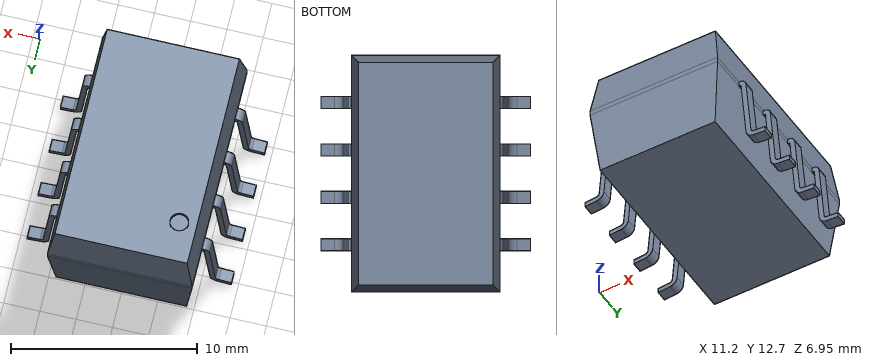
import cadquery as cq
import math

body_width = 7.98
body_length = 12.7
overall_height = 6.95
standoff = 0.17
band_top = 4.5
top_inset = 0.34
bottom_inset = 0.4

dimple_diameter = 1.0
dimple_depth = 0.2
dimple_x = -2.68

lead_span = 11.25
lead_thickness = 0.3
lead_width = 0.66
lead_pitch = 2.54
leads_per_side = 4
lead_tilt = math.radians(5)
shoulder_length = 0.05
shoulder_inner_radius = 0.09
ankle_inner_radius = 0.19

band_bottom = band_top - lead_thickness
shoulder_outer_radius = shoulder_inner_radius + lead_thickness
ankle_outer_radius = ankle_inner_radius + lead_thickness
lead_rows = [(i - (leads_per_side - 1) / 2) * lead_pitch for i in range(leads_per_side)]


def tapered_block(start_z, end_z, inset):
    """Block with the band's outline at start_z, shrinking by inset per side at end_z."""
    return (
        cq.Workplane("XY", origin=(0, 0, start_z))
        .rect(body_width, body_length)
        .workplane(offset=end_z - start_z)
        .rect(body_width - 2 * inset, body_length - 2 * inset)
        .loft(ruled=True)
    )


def make_housing():
    band = (
        cq.Workplane("XY", origin=(0, 0, band_bottom))
        .rect(body_width, body_length)
        .extrude(lead_thickness)
    )
    upper = tapered_block(band_top, overall_height, top_inset)
    lower = tapered_block(band_bottom, standoff, bottom_inset)
    dimple = (
        cq.Workplane("XY", origin=(dimple_x, lead_rows[-1], overall_height))
        .circle(dimple_diameter / 2)
        .extrude(-dimple_depth)
    )
    return band.union(upper).union(lower).cut(dimple)


def make_lead():
    """One lead on the +X side, centred on Y = 0, its root against the band."""
    root_x = body_width / 2
    tip_x = lead_span / 2
    slope = math.tan(lead_tilt)
    slanted_thickness = lead_thickness / math.cos(lead_tilt)

    half_turn = math.tan((math.pi / 2 - lead_tilt) / 2)
    shoulder_outer = (root_x + shoulder_length + shoulder_outer_radius * half_turn, band_top)
    shoulder_inner = (shoulder_outer[0] - lead_thickness * half_turn, band_bottom)

    def ankle(leg_start, foot_tip_z):
        """Point where a leg face from leg_start meets a foot face ending at foot_tip_z."""
        start_x, start_z = leg_start
        drop = start_z - foot_tip_z
        x = (start_x + slope * drop - slope**2 * tip_x) / (1 - slope**2)
        return x, foot_tip_z + slope * (tip_x - x)

    ankle_outer = ankle(shoulder_inner, 0)
    ankle_inner = ankle(shoulder_outer, slanted_thickness)

    lead = (
        cq.Workplane("XZ")
        .polyline([
            (root_x, band_top),
            shoulder_outer,
            ankle_inner,
            (tip_x, slanted_thickness),
            (tip_x, 0),
            ankle_outer,
            shoulder_inner,
            (root_x, band_bottom),
        ])
        .close()
        .extrude(lead_width / 2, both=True)
    )

    bends = [
        (shoulder_outer, shoulder_outer_radius),
        (shoulder_inner, shoulder_inner_radius),
        (ankle_outer, ankle_outer_radius),
        (ankle_inner, ankle_inner_radius),
    ]
    for (x, z), radius in bends:
        lead = lead.edges(cq.NearestToPointSelector((x, 0, z))).fillet(radius)
    return lead


def make_leads():
    right_lead = make_lead()
    left_lead = right_lead.mirror("YZ")
    leads = []
    for y in lead_rows:
        for lead in (left_lead, right_lead):
            leads.append(lead.translate((0, y, 0)).val())
    return leads


housing = make_housing()
leads = make_leads()

result = cq.Compound.makeCompound([housing.val(), *leads])